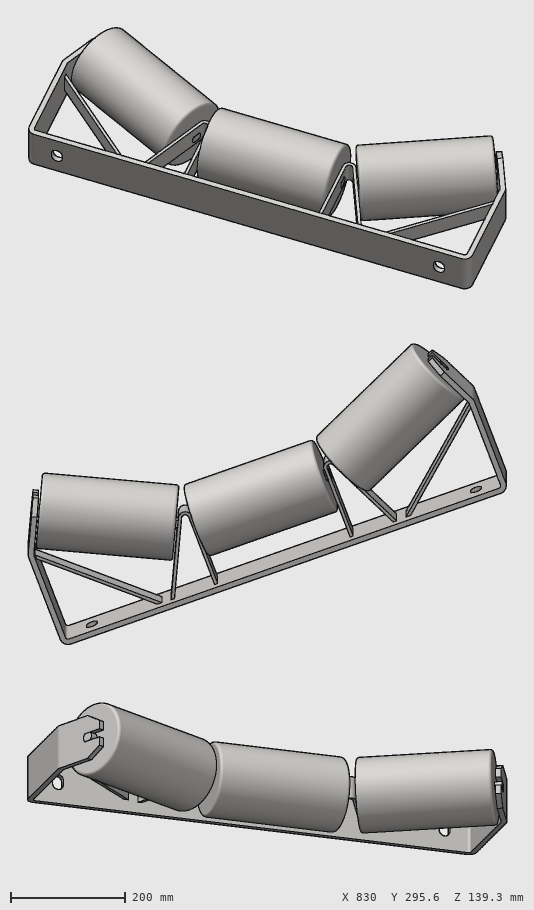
import cadquery as cq
import math


FRAME_LENGTH = 830.0
FRAME_WIDTH = 80.0
FRAME_THICKNESS = 10.0
FRAME_BEND_RADIUS = 10.0
TROUGH_ANGLE = math.radians(25)
WING_BEND_HEIGHT = 176.0
WING_LENGTH = 101.0
WING_CHAMFER_LENGTH = 30.0
WING_CHAMFER_WIDTH = 17.0
MOUNT_SLOT_SPACING = 715.5
MOUNT_SLOT_WIDTH = 20.0
MOUNT_SLOT_LENGTH = 27.0

ROLLER_LENGTH = 240.0
ROLLER_DIAMETER = 133.0
ROLLER_EDGE_RADIUS = 5.0
AXLE_DIAMETER = 20.0
AXLE_FLAT_WIDTH = 15.0
ROLLER_GAP = 3.0
ROLLER_TILT = math.radians(1.5)
AXLE_REACH = 71.0
MIDDLE_ROLLER_HEIGHT = 127.0

SUPPORT_THICKNESS = 6.0
BRACKET_BEND_RADIUS = 9.0
BRACKET_WIDTH = 40.0
BRACE_WIDTH = 35.0
BRACE_FOOT_X = 231.5
BRACE_TOP_HEIGHT = 164.0

HALF_FRAME = FRAME_THICKNESS / 2
HALF_SUPPORT = SUPPORT_THICKNESS / 2
HALF_ROLLER = ROLLER_LENGTH / 2
WALL_X = -FRAME_LENGTH / 2 + HALF_FRAME
ALONG_WING = cq.Vector(math.sin(TROUGH_ANGLE), math.cos(TROUGH_ANGLE))
ACROSS_WING = cq.Vector(math.cos(TROUGH_ANGLE), -math.sin(TROUGH_ANGLE))
WING_BEND = cq.Vector(WALL_X, WING_BEND_HEIGHT)
WING_TIP = WING_BEND + ALONG_WING * WING_LENGTH
AXLE_SEAT = WING_BEND + ALONG_WING * AXLE_REACH

SEAT_TO_ROLLER = HALF_FRAME + ROLLER_GAP + HALF_ROLLER
ROLLER_TO_BRACKET = HALF_ROLLER + ROLLER_GAP + HALF_SUPPORT
SIDE_ROLLER_CENTER = (
    AXLE_SEAT + ACROSS_WING * SEAT_TO_ROLLER - cq.Vector(0, 0, SEAT_TO_ROLLER * math.sin(ROLLER_TILT))
)
MIDDLE_ROLLER_Z = -(SEAT_TO_ROLLER + ROLLER_TO_BRACKET) * math.sin(ROLLER_TILT)

BRACKET_X = -ROLLER_TO_BRACKET
LEANING_LEG_POINT = AXLE_SEAT + ACROSS_WING * (SEAT_TO_ROLLER + ROLLER_TO_BRACKET)


def leaning_leg_at_height(height):
    return LEANING_LEG_POINT.x + (height - LEANING_LEG_POINT.y) * math.tan(TROUGH_ANGLE)


BRACKET_APEX_HEIGHT = LEANING_LEG_POINT.y + (BRACKET_X - LEANING_LEG_POINT.x) / math.tan(TROUGH_ANGLE)


def mirrored(point):
    return cq.Vector(-point.x, point.y)


def mirror_pair(body):
    return [body, body.mirror("YZ")]


def bent_strip(points, width, thickness, bend_radius):
    """Strip whose middle line follows the points, with a round bend at each corner."""
    sharp_path = cq.Wire.makePolygon(points)
    corners = [v for v in sharp_path.Vertices() if v.Center() not in (points[0], points[-1])]
    path = sharp_path.fillet2D(bend_radius, corners)
    start = cq.Plane(origin=points[0], xDir=(0, 0, 1), normal=points[1] - points[0])
    return cq.Workplane(start).rect(width, thickness).sweep(cq.Workplane(path))


def wing_plane():
    """Plane in the -X wing at the axle seat: local x runs to the wing tip, local y along Z."""
    return cq.Plane(origin=AXLE_SEAT, xDir=ALONG_WING, normal=ALONG_WING.cross(cq.Vector(0, 0, 1)))


def wing_cutter():
    """Axle slot, open at the wing tip, and the two tip corners to be cut off."""
    tip = WING_LENGTH - AXLE_REACH
    edge = FRAME_WIDTH / 2
    slot = (
        cq.Workplane(wing_plane())
        .center(tip / 2, 0)
        .rect(tip, AXLE_FLAT_WIDTH)
        .extrude(FRAME_THICKNESS, both=True)
    )
    corner = (
        cq.Workplane(wing_plane())
        .moveTo(tip, edge)
        .lineTo(tip - WING_CHAMFER_LENGTH, edge)
        .lineTo(tip, edge - WING_CHAMFER_WIDTH)
        .close()
        .extrude(FRAME_THICKNESS, both=True)
    )
    return slot.union(corner).union(corner.mirror("XY"))


def make_frame():
    base_corner = cq.Vector(WALL_X, HALF_FRAME)
    left_points = [WING_TIP, WING_BEND, base_corner]
    right_points = [mirrored(p) for p in reversed(left_points)]
    frame = bent_strip(left_points + right_points, FRAME_WIDTH, FRAME_THICKNESS, FRAME_BEND_RADIUS)
    for cutter in mirror_pair(wing_cutter()):
        frame = frame.cut(cutter)
    mount_slots = (
        cq.Workplane("XZ")
        .rarray(MOUNT_SLOT_SPACING, 8, 2, 1)
        .slot2D(MOUNT_SLOT_LENGTH, MOUNT_SLOT_WIDTH, 90)
        .extrude(-FRAME_THICKNESS)
    )
    return frame.cut(mount_slots)


def make_bracket():
    """Bracket for the -X side: upright leg, round top and leaning leg, both feet on the base."""
    foot = HALF_FRAME
    points = [
        cq.Vector(BRACKET_X, foot),
        cq.Vector(BRACKET_X, BRACKET_APEX_HEIGHT),
        cq.Vector(leaning_leg_at_height(foot), foot),
    ]
    strip = bent_strip(points, BRACKET_WIDTH, SUPPORT_THICKNESS, BRACKET_BEND_RADIUS)
    base = cq.Workplane("XY").box(FRAME_LENGTH, 2 * FRAME_THICKNESS, FRAME_WIDTH)
    return strip.cut(base)


def make_brace():
    """Sloping brace for the -X side, from the base to the upright wall."""
    wall_x = WALL_X + HALF_FRAME
    run = -BRACE_FOOT_X - wall_x
    rise = BRACE_TOP_HEIGHT - FRAME_THICKNESS
    slope = math.atan2(rise, run)
    half_foot = HALF_SUPPORT / math.sin(slope)
    half_top = HALF_SUPPORT / math.cos(slope)
    return (
        cq.Workplane("XY")
        .moveTo(-BRACE_FOOT_X - half_foot, FRAME_THICKNESS)
        .lineTo(-BRACE_FOOT_X + half_foot, FRAME_THICKNESS)
        .lineTo(wall_x, BRACE_TOP_HEIGHT + half_top)
        .lineTo(wall_x, BRACE_TOP_HEIGHT - half_top)
        .close()
        .extrude(BRACE_WIDTH / 2, both=True)
    )


def make_axle(first_length, second_length):
    """Flatted axle along X that reaches the given lengths to either side of the roller middle."""
    start = cq.Workplane("YZ", origin=(-first_length, 0, 0))
    length = first_length + second_length
    flats = start.rect(AXLE_DIAMETER, AXLE_FLAT_WIDTH).extrude(length)
    return start.circle(AXLE_DIAMETER / 2).extrude(length).intersect(flats)


def make_roller(first_support, second_support):
    """Roller along X; its axle ends finish flush with supports of the given thicknesses."""
    drum = (
        cq.Workplane("YZ", origin=(-HALF_ROLLER, 0, 0))
        .circle(ROLLER_DIAMETER / 2)
        .extrude(ROLLER_LENGTH)
        .edges()
        .fillet(ROLLER_EDGE_RADIUS)
    )
    support_face = HALF_ROLLER + ROLLER_GAP
    return drum.union(make_axle(support_face + first_support, support_face + second_support))


def place_side(body):
    """Tilt a body along X in Z, lean it to the trough angle and move it to the -X side roller's place."""
    return (
        body.rotate((0, 0, 0), (0, 1, 0), math.degrees(ROLLER_TILT))
        .rotate((0, 0, 0), (0, 0, 1), -math.degrees(TROUGH_ANGLE))
        .translate(SIDE_ROLLER_CENTER)
    )


middle_roller = make_roller(SUPPORT_THICKNESS, SUPPORT_THICKNESS).translate(
    (0, MIDDLE_ROLLER_HEIGHT, MIDDLE_ROLLER_Z)
)
side_rollers = mirror_pair(place_side(make_roller(FRAME_THICKNESS, SUPPORT_THICKNESS)))
braces = mirror_pair(make_brace())

side_seat = place_side(make_axle(SEAT_TO_ROLLER + FRAME_THICKNESS, ROLLER_TO_BRACKET + SUPPORT_THICKNESS))
frame = make_frame()
for seat in mirror_pair(side_seat):
    frame = frame.cut(seat)
brackets = mirror_pair(make_bracket().cut(middle_roller).cut(side_seat))

bodies = [frame, *brackets, *braces, middle_roller, *side_rollers]
result = cq.Compound.makeCompound([solid for body in bodies for solid in body.solids().vals()])